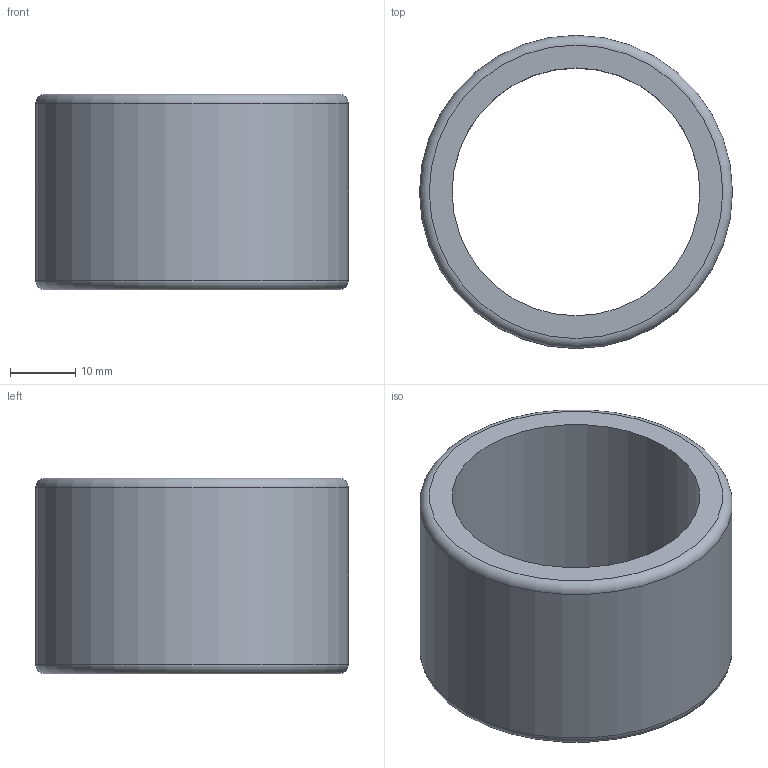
import cadquery as cq

outer_diameter = 48.0
bore_diameter = 38.0
length = 30.0
rim_radius = 1.5


def make_body():
    """Solid cylinder centred on the origin with both rims rounded."""
    body = cq.Workplane("XY").cylinder(length, outer_diameter / 2)
    return body.faces("<Z or >Z").edges().fillet(rim_radius)


def cut_bore(body):
    """Cut the sharp-edged through bore along the axis."""
    return body.faces(">Z").workplane().hole(bore_diameter)


result = cut_bore(make_body())